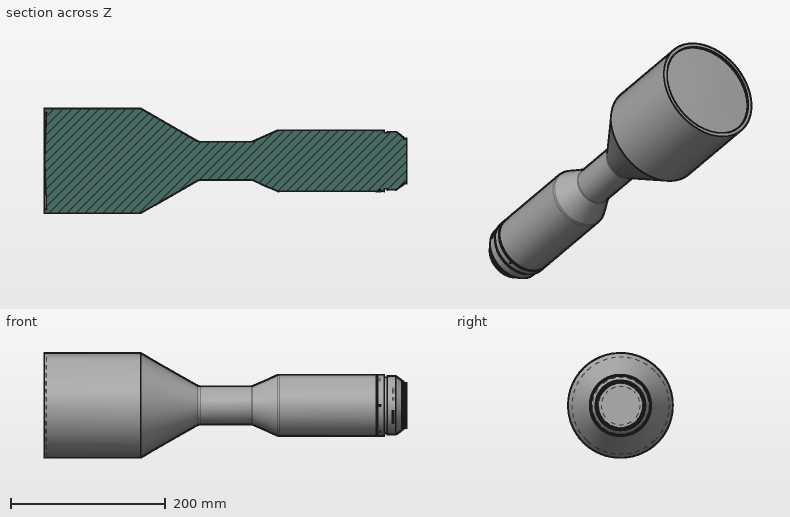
import cadquery as cq
import math

total_length = 468.5
head_end = 124.5
neck_start = 199.5
neck_end = 268.5
barrel_start = 302.0
barrel_end = 439.5
collar_start = 443.0
collar_end = 454.5
tip_groove_start = 464.5
tip_groove_end = 466.5

head_radius = 68.0
neck_radius = 25.0
barrel_radius = 40.0
collar_groove_radius = 36.5
collar_radius = 38.0
taper_end_radius = 30.5
tip_groove_radius = 28.5
tip_radius = 29.5

blend_radius = 7.0
neck_end_blend_radius = 3.5

barrel_groove_start = 429.0
barrel_groove_width = 2.0
barrel_groove_depth = 0.5
taper_groove_start = 462.0
taper_groove_width = 1.5
taper_groove_depth = 0.5

slot_start = 449.5
slot_width = 2.0
slot_depth = 0.5
slot_span = 26.0
first_slot_angle = 191.0
slot_count = 2

recess_radius = 62.8
recess_depth = 3.0
floor_rise = 2.5

screw_hole_count = 3
screw_hole_radius = 1.0
screw_hole_depth = 2.5
screw_hole_x = 433.5
first_screw_angle = 180.0


def turned_body():
    """Revolve the half profile about the X axis."""
    profile = [
        (recess_depth - floor_rise, 0),
        (recess_depth, recess_radius),
        (0, recess_radius),
        (0, head_radius),
        (head_end, head_radius),
        (neck_start, neck_radius),
        (neck_end, neck_radius),
        (barrel_start, barrel_radius),
        (barrel_end, barrel_radius),
        (barrel_end, collar_groove_radius),
        (collar_start, collar_groove_radius),
        (collar_start, collar_radius),
        (collar_end, collar_radius),
        (tip_groove_start, taper_end_radius),
        (tip_groove_start, tip_groove_radius),
        (tip_groove_end, tip_groove_radius),
        (tip_groove_end, tip_radius),
        (total_length, tip_radius),
        (total_length, 0),
    ]
    return cq.Workplane("XY").polyline(profile).close().revolve(360, (0, 0, 0), (1, 0, 0))


def blend_cones(body):
    """Round the cone edges at both ends of the neck and at the start of the barrel."""
    blends = [
        (neck_start, blend_radius),
        (neck_end, neck_end_blend_radius),
        (barrel_start, blend_radius),
    ]
    for station, radius in blends:
        edge_zone = cq.selectors.BoxSelector(
            (station - radius, -head_radius, -head_radius),
            (station + radius, head_radius, head_radius),
            boundingbox=True,
        )
        body = body.edges(edge_zone).fillet(radius)
    return body


def ring(start, width, inner_radius):
    """Ring cutter around the X axis, reaching outside the head."""
    return (
        cq.Workplane("YZ", origin=(start, 0, 0))
        .circle(head_radius)
        .circle(inner_radius)
        .extrude(width)
    )


def collar_slot(angle):
    """Arc-shaped slot cutter; it begins at the angle measured from +Y towards +Z."""
    section = [
        (slot_start, collar_radius - slot_depth),
        (slot_start + slot_width, collar_radius - slot_depth),
        (slot_start + slot_width, collar_radius + slot_depth),
        (slot_start, collar_radius + slot_depth),
    ]
    slot = cq.Workplane("XY").polyline(section).close().revolve(slot_span, (0, 0, 0), (1, 0, 0))
    return slot.rotate((0, 0, 0), (1, 0, 0), angle)


def screw_hole(angle):
    """Blind radial hole; the angle is measured from +Y towards +Z."""
    outward = cq.Vector(0, math.cos(math.radians(angle)), math.sin(math.radians(angle)))
    bottom = cq.Vector(screw_hole_x, 0, 0) + outward * (barrel_radius - screw_hole_depth)
    return cq.Solid.makeCylinder(screw_hole_radius, 2 * screw_hole_depth, bottom, outward)


taper_slope = (collar_radius - taper_end_radius) / (tip_groove_start - collar_end)
taper_groove_middle = taper_groove_start + taper_groove_width / 2
taper_groove_radius = collar_radius - taper_slope * (taper_groove_middle - collar_end) - taper_groove_depth

result = blend_cones(turned_body())
result = result.cut(ring(barrel_groove_start, barrel_groove_width, barrel_radius - barrel_groove_depth))
result = result.cut(ring(taper_groove_start, taper_groove_width, taper_groove_radius))
for index in range(screw_hole_count):
    hole_angle = first_screw_angle + index * 360 / screw_hole_count
    result = result.cut(cq.Workplane(screw_hole(hole_angle)))
for index in range(slot_count):
    result = result.cut(collar_slot(first_slot_angle + index * 360 / slot_count))